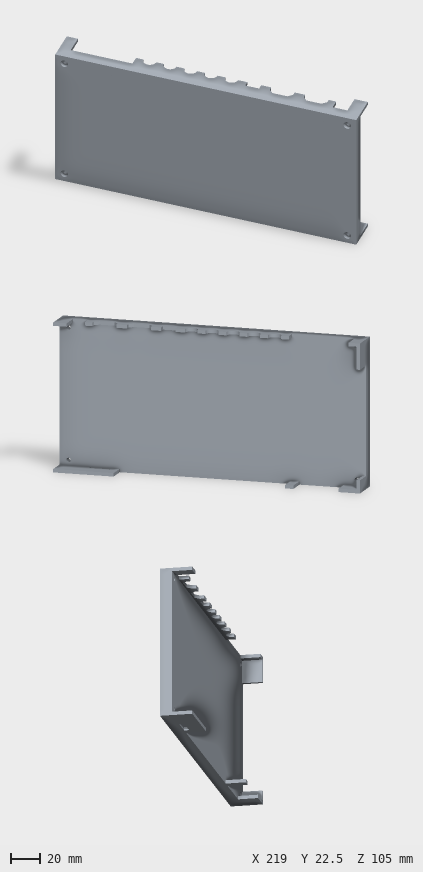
import cadquery as cq
length = 219.0
depth = 22.5
height = 105.0
wall = 2.5
floor_thickness = 8.5

left_opening_bottom = 9.2
left_opening_top = height - 18.5

comb_top = 15.5
comb_start = 53.0
comb_end = 198.6
upper_left_end = 8.0
upper_right_start = 209.4
round_notch_radius = 4.5
round_notch_pitch = 15.0
round_notch_first = 63.0
round_notch_count = 5
square_notch_start = 134.0
square_notch_width = 10.0
square_notch_floor = 11.4
wide_notch_starts = (151.3, 176.0)
wide_notch_width = 17.0
wide_notch_floor = 9.6
wide_notch_chamfer = 3.0

lower_openings = ((15.3, 47.5), (53.5, 175.9))
window_start = 181.8
window_width = 15.0
window_top = 12.0

hole_inset_x = 6.5
hole_inset_z = 6.1
hole_diameter = 3.0
counterbore_diameter = 5.5
counterbore_depth = 2.5


def block(x_range, y_range, z_range):
    """Box spanning the given X, Y and Z ranges."""
    (x0, x1), (y0, y1), (z0, z1) = x_range, y_range, z_range
    return cq.Workplane("XY").box(x1 - x0, y1 - y0, z1 - z0, centered=False).translate((x0, y0, z0))


def upper_wall_cut(x0, x1, bottom):
    """Box through the upper wall, open towards +Y."""
    return block((x0, x1), (bottom, depth), (height - wall, height))


def shell():
    tray = block((0, length), (0, depth), (0, height))
    cavity = block((wall, length), (floor_thickness, depth), (wall, height - wall))
    return tray.cut(cavity)


def left_opening():
    return block((0, wall), (floor_thickness, depth), (left_opening_bottom, left_opening_top))


def upper_wall_notches():
    cuts = upper_wall_cut(upper_left_end, comb_start, floor_thickness)
    cuts = cuts.union(upper_wall_cut(comb_start, comb_end, comb_top))
    cuts = cuts.union(upper_wall_cut(comb_end, upper_right_start, floor_thickness))
    square_notch_end = square_notch_start + square_notch_width
    cuts = cuts.union(upper_wall_cut(square_notch_start, square_notch_end, square_notch_floor))
    for index in range(round_notch_count):
        center = round_notch_first + index * round_notch_pitch
        notch_base = cq.Workplane("XY", origin=(center, comb_top, height - wall))
        cuts = cuts.union(notch_base.circle(round_notch_radius).extrude(wall))
    for start in wide_notch_starts:
        notch = upper_wall_cut(start, start + wide_notch_width, wide_notch_floor)
        cuts = cuts.union(notch.faces("<Y").edges("|Z").chamfer(wide_notch_chamfer))
    return cuts


def lower_wall_openings():
    window_end = window_start + window_width
    cuts = block((window_start, window_end), (floor_thickness, window_top), (0, wall))
    for start, end in lower_openings:
        cuts = cuts.union(block((start, end), (floor_thickness, depth), (0, wall)))
    return cuts


def screw_holes():
    columns = (hole_inset_x, length - hole_inset_x)
    rows = (hole_inset_z, height - hole_inset_z)
    centers = [(x, z) for x in columns for z in rows]
    face = cq.Workplane("XZ").pushPoints(centers)
    bores = face.circle(hole_diameter / 2).extrude(-floor_thickness)
    counterbores = face.circle(counterbore_diameter / 2).extrude(-counterbore_depth)
    return bores.union(counterbores)


result = shell()
result = result.cut(left_opening())
result = result.cut(upper_wall_notches())
result = result.cut(lower_wall_openings())
result = result.cut(screw_holes())